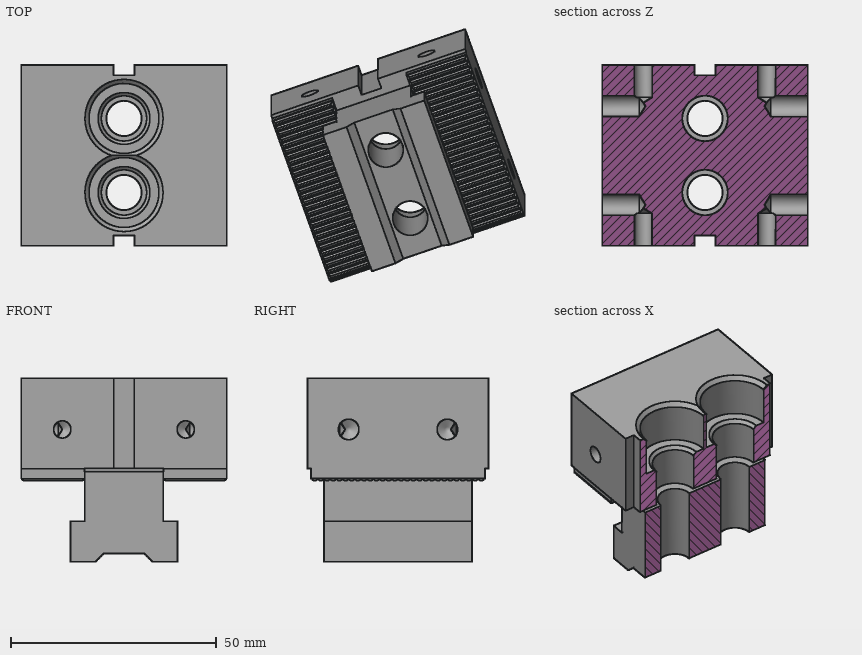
import cadquery as cq
import math

TOTAL_HEIGHT = 44.7

BLOCK_LENGTH = 50.0
BLOCK_WIDTH = 44.0
BLOCK_HEIGHT = 22.0
BLOCK_BOTTOM = TOTAL_HEIGHT - BLOCK_HEIGHT
NOTCH_WIDTH = 5.1
NOTCH_DEPTH = 2.5

RAIL_LENGTH = 36.0
RAIL_BASE_WIDTH = 26.1
RAIL_BASE_HEIGHT = 9.9
RAIL_STEM_WIDTH = 19.1
RAIL_BLOCK_GAP = 0.7
RAIL_HEIGHT = BLOCK_BOTTOM - RAIL_BLOCK_GAP
CHANNEL_TOP_WIDTH = 9.9
CHANNEL_DEPTH = 2.0
CHANNEL_MOUTH_WIDTH = CHANNEL_TOP_WIDTH + 2 * CHANNEL_DEPTH

FOOT_HEIGHT = 3.0
FOOT_BOTTOM = BLOCK_BOTTOM - FOOT_HEIGHT
FOOT_WIDTH = (BLOCK_LENGTH - RAIL_STEM_WIDTH) / 2
FOOT_CENTER_X = (BLOCK_LENGTH - FOOT_WIDTH) / 2
FOOT_CHAMFER = 0.6
FOOT_LENGTH = 42.3
TOOTH_PITCH = 1.5
TOOTH_COUNT = 28
TOOTH_HEIGHT = 0.5

SCREW_Y = 9.0
HEAD_BORE_DIAMETER = 17.0
HEAD_BORE_DEPTH = 11.0
HEAD_BORE_CHAMFER = 1.0
SHANK_DIAMETER = 11.0
SHANK_CHAMFER = 0.8
RAIL_HOLE_DIAMETER = 8.5

DRILL_POINT_ANGLE = 118.0
SIDE_HOLE_Z = TOTAL_HEIGHT - 12.5
Y_FACE_HOLE_X = 15.0
Y_FACE_HOLE_DIAMETER = 4.2
Y_FACE_HOLE_DEPTH = 7.9
X_FACE_HOLE_Y = 12.0
X_FACE_HOLE_DIAMETER = 5.0
X_FACE_HOLE_DEPTH = 9.0


def drilled_hole(diameter, depth, entry, direction):
    """Cylinder with a drill-point cone, running from entry along direction."""
    radius = diameter / 2
    tip_length = radius / math.tan(math.radians(DRILL_POINT_ANGLE / 2))
    entry_point = cq.Vector(*entry)
    axis = cq.Vector(*direction)
    cylinder = cq.Solid.makeCylinder(radius, depth, entry_point, axis)
    tip = cq.Solid.makeCone(radius, 0, tip_length, entry_point + axis * depth, axis)
    return cq.Workplane(cylinder.fuse(tip))


def notched_block():
    """Rectangular block with a full-height notch in each Y face."""
    block = cq.Workplane().box(BLOCK_LENGTH, BLOCK_WIDTH, BLOCK_HEIGHT, centered=(True, True, False))
    notch = cq.Workplane().box(NOTCH_WIDTH, NOTCH_DEPTH, BLOCK_HEIGHT, centered=(True, True, False))
    for side in (-1, 1):
        block = block.cut(notch.translate((0, side * (BLOCK_WIDTH - NOTCH_DEPTH) / 2, 0)))
    return block.translate((0, 0, BLOCK_BOTTOM))


def serrated_foot(side):
    """Foot with chamfered lower long edges and a row of trapezoidal teeth running along X."""
    root_z = FOOT_BOTTOM + TOOTH_HEIGHT
    outline = [(-FOOT_LENGTH / 2, BLOCK_BOTTOM), (-FOOT_LENGTH / 2, root_z)]
    for index in range(TOOTH_COUNT):
        start = (index - TOOTH_COUNT / 2) * TOOTH_PITCH
        end = start + TOOTH_PITCH
        outline += [(start, root_z), (start + TOOTH_HEIGHT, FOOT_BOTTOM), (end - TOOTH_HEIGHT, FOOT_BOTTOM)]
    outline += [(end, root_z), (FOOT_LENGTH / 2, root_z), (FOOT_LENGTH / 2, BLOCK_BOTTOM)]
    toothed_bar = cq.Workplane("YZ").polyline(outline).close().extrude(FOOT_WIDTH / 2, both=True)

    chamfered_bar = (
        cq.Workplane()
        .box(FOOT_WIDTH, FOOT_LENGTH, FOOT_HEIGHT, centered=(True, True, False))
        .edges("<Z and |Y")
        .chamfer(FOOT_CHAMFER)
        .translate((0, 0, FOOT_BOTTOM))
    )
    return toothed_bar.intersect(chamfered_bar).translate((side * FOOT_CENTER_X, 0, 0))


def screw_hole(y):
    """Chamfered head bore above a chamfered shank hole, through the block."""
    head_radius = HEAD_BORE_DIAMETER / 2
    shank_radius = SHANK_DIAMETER / 2
    seat = TOTAL_HEIGHT - HEAD_BORE_DEPTH
    profile = [
        (0, BLOCK_BOTTOM),
        (shank_radius, BLOCK_BOTTOM),
        (shank_radius, seat - SHANK_CHAMFER),
        (shank_radius + SHANK_CHAMFER, seat),
        (head_radius, seat),
        (head_radius, TOTAL_HEIGHT - HEAD_BORE_CHAMFER),
        (head_radius + HEAD_BORE_CHAMFER, TOTAL_HEIGHT),
        (0, TOTAL_HEIGHT),
    ]
    bore = cq.Workplane("XZ").polyline(profile).close().revolve(360, (0, 0, 0), (0, 1, 0))
    return bore.translate((0, y, 0))


def make_jaw():
    """Block with its feet, screw holes and side holes, as one solid."""
    jaw = notched_block()
    for side in (-1, 1):
        jaw = jaw.union(serrated_foot(side))
        jaw = jaw.cut(screw_hole(side * SCREW_Y))
    for x_side in (-1, 1):
        for y_side in (-1, 1):
            x_entry = (x_side * BLOCK_LENGTH / 2, y_side * X_FACE_HOLE_Y, SIDE_HOLE_Z)
            y_entry = (x_side * Y_FACE_HOLE_X, y_side * BLOCK_WIDTH / 2, SIDE_HOLE_Z)
            jaw = jaw.cut(drilled_hole(X_FACE_HOLE_DIAMETER, X_FACE_HOLE_DEPTH, x_entry, (-x_side, 0, 0)))
            jaw = jaw.cut(drilled_hole(Y_FACE_HOLE_DIAMETER, Y_FACE_HOLE_DEPTH, y_entry, (0, -y_side, 0)))
    return jaw


def make_rail():
    """Inverted T section with a channel beneath and two through holes."""
    half_outline = [
        (0, CHANNEL_DEPTH),
        (CHANNEL_TOP_WIDTH / 2, CHANNEL_DEPTH),
        (CHANNEL_MOUTH_WIDTH / 2, 0),
        (RAIL_BASE_WIDTH / 2, 0),
        (RAIL_BASE_WIDTH / 2, RAIL_BASE_HEIGHT),
        (RAIL_STEM_WIDTH / 2, RAIL_BASE_HEIGHT),
        (RAIL_STEM_WIDTH / 2, RAIL_HEIGHT),
        (0, RAIL_HEIGHT),
    ]
    rail = cq.Workplane("XZ").polyline(half_outline).mirrorY().extrude(RAIL_LENGTH / 2, both=True)
    hole_centers = [(0, -SCREW_Y), (0, SCREW_Y)]
    holes = cq.Workplane().pushPoints(hole_centers).circle(RAIL_HOLE_DIAMETER / 2).extrude(RAIL_HEIGHT)
    return rail.cut(holes)


jaw = make_jaw()
rail = make_rail()

result = cq.Compound.makeCompound([*jaw.solids().vals(), *rail.solids().vals()])